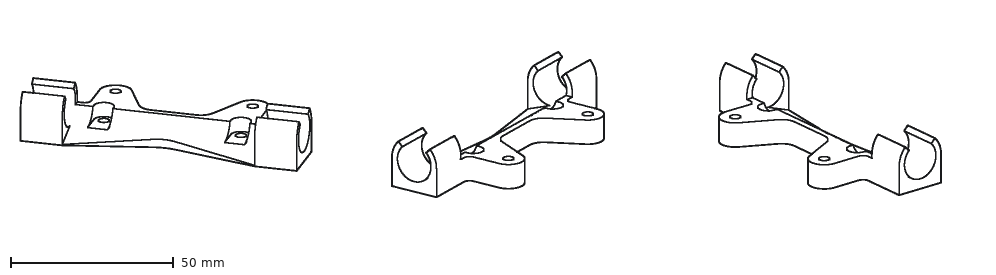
import cadquery as cq
import math

length = 88.3
block_length = 13.4
block_width = 16.5
clip_radius = block_width / 2
bore_radius = 6.2
bore_height = 9.5
mouth_half_angle = math.radians(45)
bore_y = clip_radius
bore_floor = bore_height - bore_radius
bridge_half_length = length / 2 - block_length

bridge_height = 8.0
waist_depth = 7.15
waist_radius = 15.0
slope_front_height = 0.35

ear_x = 21.9
ear_y = 28.2
ear_radius = 5.0
ear_root_x = 10.4
inner_root_radius = 5.0
outer_root_radius = 2.0

hole_diameter = 3.35
seat_hole_y = 15.3
seat_radius = 3.2


def clip_block(start_x):
    """Square-bottomed block with a round top, opened by a V-shaped mouth."""
    mouth_reach = 2 * clip_radius
    mouth_half_width = mouth_reach * math.tan(mouth_half_angle)
    body = (
        cq.Workplane("YZ", origin=(start_x, 0, 0))
        .moveTo(0, 0)
        .lineTo(block_width, 0)
        .lineTo(block_width, bore_height)
        .threePointArc((bore_y, bore_height + clip_radius), (0, bore_height))
        .close()
        .extrude(block_length)
    )
    mouth = (
        cq.Workplane("YZ", origin=(start_x, 0, 0))
        .moveTo(bore_y, bore_height)
        .lineTo(bore_y + mouth_half_width, bore_height + mouth_reach)
        .lineTo(bore_y - mouth_half_width, bore_height + mouth_reach)
        .close()
        .extrude(block_length)
    )
    return body.cut(mouth)


def bridge():
    """Bar between the blocks, narrowed to a rounded waist at the front."""
    return (
        cq.Workplane("XY")
        .moveTo(-bridge_half_length, 0)
        .lineTo(0, waist_depth)
        .lineTo(bridge_half_length, 0)
        .lineTo(bridge_half_length, block_width)
        .lineTo(-bridge_half_length, block_width)
        .close()
        .extrude(bridge_height)
        .edges(cq.selectors.NearestToPointSelector((0, waist_depth, bridge_height / 2)))
        .fillet(waist_radius)
    )


def ear():
    """Round-ended ear on the +X side, one edge straight and one flaring inward."""
    root_dx = ear_root_x - ear_x
    root_dy = block_width - ear_y
    root_distance = math.hypot(root_dx, root_dy)
    tangent_angle = math.atan2(root_dy, root_dx) - math.acos(ear_radius / root_distance)
    tangent_point = (
        ear_x + ear_radius * math.cos(tangent_angle),
        ear_y + ear_radius * math.sin(tangent_angle),
    )
    outer_x = ear_x + ear_radius
    return (
        cq.Workplane("XY")
        .moveTo(ear_root_x, bore_y)
        .lineTo(outer_x, bore_y)
        .lineTo(outer_x, ear_y)
        .threePointArc((ear_x, ear_y + ear_radius), tangent_point)
        .lineTo(ear_root_x, block_width)
        .close()
        .extrude(bridge_height)
    )


def front_slope_cut():
    """Removes the bridge in front of the bore, leaving a slope down to the front."""
    return (
        cq.Workplane("YZ", origin=(-bridge_half_length, 0, 0))
        .moveTo(0, slope_front_height)
        .lineTo(bore_y, bore_floor)
        .lineTo(bore_y, bridge_height)
        .lineTo(0, bridge_height)
        .close()
        .extrude(2 * bridge_half_length)
    )


def screw_seat(x):
    """Flat-floored slot, round at the back, level with the bottom of the bore."""
    return (
        cq.Workplane("XY", origin=(x, 0, bore_floor))
        .moveTo(-seat_radius, bore_y)
        .lineTo(seat_radius, bore_y)
        .lineTo(seat_radius, seat_hole_y)
        .threePointArc((0, seat_hole_y + seat_radius), (-seat_radius, seat_hole_y))
        .close()
        .extrude(bridge_height - bore_floor)
    )


right_ear = ear()
plate = bridge().union(right_ear).union(right_ear.mirror("YZ"))
for side in (-1, 1):
    for root_x, radius in (
        (ear_root_x, inner_root_radius),
        (ear_x + ear_radius, outer_root_radius),
    ):
        corner = (side * root_x, block_width, bridge_height / 2)
        plate = plate.edges(cq.selectors.NearestToPointSelector(corner)).fillet(radius)

plate = plate.cut(front_slope_cut())

result = (
    plate
    .union(clip_block(-length / 2))
    .union(clip_block(bridge_half_length))
)

bore = (
    cq.Workplane("YZ", origin=(-length / 2, 0, 0))
    .center(bore_y, bore_height)
    .circle(bore_radius)
    .extrude(length)
)
result = result.cut(bore)

for seat_x in (-ear_x, ear_x):
    result = result.cut(screw_seat(seat_x))

screw_holes = (
    cq.Workplane("XY")
    .pushPoints([(x, y) for x in (-ear_x, ear_x) for y in (seat_hole_y, ear_y)])
    .circle(hole_diameter / 2)
    .extrude(bridge_height)
)
result = result.cut(screw_holes)